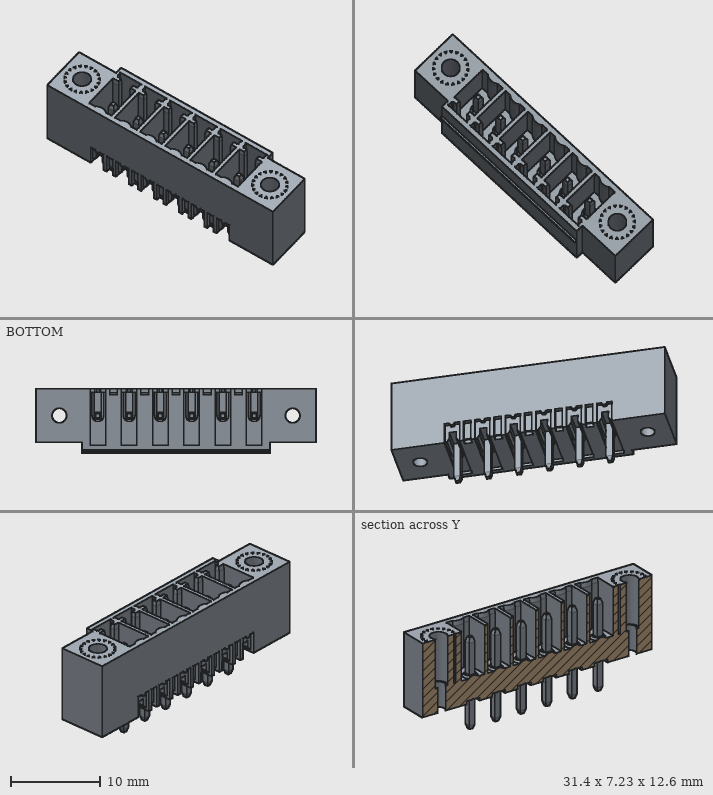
import cadquery as cq
import math


BODY_LENGTH = 31.4
BODY_HEIGHT = 9.2
FRONT_Y = -3.0
EAR_BACK_Y = -FRONT_Y
HOUSING_LENGTH = 21.1
HOUSING_BACK_Y = 3.95
BACK_WALL = 0.63
BACK_EDGE_CHAMFER = 0.13

RIB_DEPTH = 0.28
RIB_BOTTOM_Z = 5.68
RIB_HEIGHT = 0.35
RIB_CHAMFER = 0.13

PIN_COUNT = 6
PIN_ROW_SPAN = 17.5
PIN_WIDTH = 0.8
PIN_BOTTOM_Z = -3.4
PIN_TOP_Z = 7.95
PIN_TIP_LENGTH = 0.55
PIN_TIP_WIDTH = 0.45
COLLAR_DIAMETER = 1.8
COLLAR_TOP_DIAMETER = 1.35
COLLAR_HEIGHT = 0.25

CAVITY_FLOOR_Z = 3.15
CAVITY_HALF_WIDTH = 1.5
END_EXTRA_WIDTH = 0.1
CAVITY_FRONT_Y = -2.25
KEY_HALF_WIDTH = 0.75
KEY_HEIGHT = 0.28
TAB_FRONT_Y = 2.07
TAB_BACK_Y = 2.65
TAB_GAP_HALF_WIDTH = 0.75
POCKET_HALF_WIDTH = 1.4
POCKET_CORNER = 0.13
POCKET_FLARE_WIDTH = 0.13
POCKET_FLARE_DEPTH = 0.05
LEAD_IN = 0.1
LEAD_IN_HEIGHT = 0.53

SLOT_HEIGHT = 2.65
PIN_SLOT_WIDTH = 1.75
PIN_SLOT_DEPTH = 0.4
SLOT_LUG_WIDTH = 0.65
SLOT_LUG_TIP_WIDTH = 0.28
SLOT_LUG_HEIGHT = 0.28
WINDOW_HEIGHT = 1.63
FLARE_WIDTH = 1.32
FLARE_HEIGHT = 0.4
GAP_SLOT_WIDTH = 0.85
GAP_SLOT_DEPTH = 0.47
GAP_STEP_HEIGHT = 0.47
GAP_STEP_DEPTH = 0.2
BAY_HEIGHT = 0.38

INSERT_X = 13.05
INSERT_BORE = 2.05
INSERT_DIAMETER = 4.02
SCREW_HOLE = 1.6
KNURL_COUNT = 19
KNURL_DEPTH = 0.22
KNURL_WIDTH = 0.28

HOUSING_BACK_INNER_Y = HOUSING_BACK_Y - BACK_WALL
PITCH = PIN_ROW_SPAN / (PIN_COUNT - 1)
PIN_XS = [i * PITCH - PIN_ROW_SPAN / 2 for i in range(PIN_COUNT)]
GAP_XS = [(a + b) / 2 for a, b in zip(PIN_XS, PIN_XS[1:])]
CAVITY_DEPTH = BODY_HEIGHT - CAVITY_FLOOR_Z
INSERT_DEPTH = CAVITY_DEPTH


def box(x_center, width, y_min, y_max, z_min, z_max):
    """Axis-aligned block centred on x_center."""
    return (
        cq.Workplane("XY")
        .box(width, y_max - y_min, z_max - z_min, centered=(True, False, False))
        .translate((x_center, y_min, z_min))
    )


def front_prism(points, x_center, y_min, y_max):
    """Extrude an XZ outline from y_min back to y_max."""
    return (
        cq.Workplane("XZ")
        .polyline(points)
        .close()
        .extrude(-(y_max - y_min))
        .translate((x_center, y_min, 0))
    )


def make_housing():
    """Ears and deeper centre block, with a chamfered rib along the back."""
    ears = box(0, BODY_LENGTH, FRONT_Y, EAR_BACK_Y, 0, BODY_HEIGHT)
    block = box(0, HOUSING_LENGTH, FRONT_Y, HOUSING_BACK_Y, 0, BODY_HEIGHT)
    block = block.faces(">Y").edges("<Z").chamfer(BACK_EDGE_CHAMFER)
    rib_top_z = RIB_BOTTOM_Z + RIB_HEIGHT
    rib = box(0, HOUSING_LENGTH, HOUSING_BACK_Y, HOUSING_BACK_Y + RIB_DEPTH, RIB_BOTTOM_Z, rib_top_z)
    rib = rib.faces(">Y").edges("<Z").chamfer(RIB_CHAMFER)
    return ears.union(block).union(rib)


def cavity_outline(plane, left, right, lead):
    """Cavity cross-section; lead widens the front wall, the key and the tabs' inner faces."""
    front_y = CAVITY_FRONT_Y - lead
    tab_y = TAB_FRONT_Y + lead
    gap = TAB_GAP_HALF_WIDTH + lead
    side = POCKET_HALF_WIDTH
    flare = side + POCKET_FLARE_WIDTH
    flare_y = HOUSING_BACK_INNER_Y - POCKET_FLARE_DEPTH
    corner_y = TAB_BACK_Y + POCKET_CORNER
    return (
        plane.moveTo(-left, front_y)
        .lineTo(-KEY_HALF_WIDTH, front_y)
        .threePointArc((0, front_y + KEY_HEIGHT), (KEY_HALF_WIDTH, front_y))
        .lineTo(right, front_y)
        .lineTo(right, tab_y)
        .lineTo(gap, tab_y)
        .lineTo(gap, TAB_BACK_Y)
        .lineTo(side - POCKET_CORNER, TAB_BACK_Y)
        .lineTo(side, corner_y)
        .lineTo(side, flare_y)
        .lineTo(flare, HOUSING_BACK_INNER_Y)
        .lineTo(-flare, HOUSING_BACK_INNER_Y)
        .lineTo(-side, flare_y)
        .lineTo(-side, corner_y)
        .lineTo(-side + POCKET_CORNER, TAB_BACK_Y)
        .lineTo(-gap, TAB_BACK_Y)
        .lineTo(-gap, tab_y)
        .lineTo(-left, tab_y)
        .close()
    )


def make_cavity(index):
    """One plug cavity with its widened mouth; the end cavities are wider on their outer side."""
    left = CAVITY_HALF_WIDTH + (END_EXTRA_WIDTH if index == 0 else 0)
    right = CAVITY_HALF_WIDTH + (END_EXTRA_WIDTH if index == PIN_COUNT - 1 else 0)
    floor = cq.Workplane("XY").workplane(offset=CAVITY_FLOOR_Z)
    shaft = cavity_outline(floor, left, right, 0).extrude(CAVITY_DEPTH)
    lead_start = cq.Workplane("XY").workplane(offset=BODY_HEIGHT - LEAD_IN_HEIGHT)
    lower = cavity_outline(lead_start, left, right, 0)
    mouth = cavity_outline(lower.workplane(offset=LEAD_IN_HEIGHT), left, right, LEAD_IN).loft(ruled=True)
    return shaft.union(mouth).translate((PIN_XS[index], 0, 0))


def make_pin_slot(x):
    """Front recess with a hanging lug, the bay behind it, and a flared window to the pin."""
    half = PIN_SLOT_WIDTH / 2
    lug = SLOT_LUG_WIDTH / 2
    lug_tip = SLOT_LUG_TIP_WIDTH / 2
    lug_z = SLOT_HEIGHT - SLOT_LUG_HEIGHT
    recess_outline = [
        (-half, 0),
        (half, 0),
        (half, SLOT_HEIGHT),
        (lug, SLOT_HEIGHT),
        (lug_tip, lug_z),
        (-lug_tip, lug_z),
        (-lug, SLOT_HEIGHT),
        (-half, SLOT_HEIGHT),
    ]
    recess_back_y = FRONT_Y + PIN_SLOT_DEPTH
    recess = front_prism(recess_outline, x, FRONT_Y, recess_back_y)
    window = box(x, PIN_WIDTH, FRONT_Y, 0, 0, WINDOW_HEIGHT)
    flare_half = FLARE_WIDTH / 2
    pin_half = PIN_WIDTH / 2
    flare_top_z = BAY_HEIGHT + FLARE_HEIGHT
    flare_outline = [
        (-flare_half, BAY_HEIGHT),
        (flare_half, BAY_HEIGHT),
        (pin_half, flare_top_z),
        (-pin_half, flare_top_z),
    ]
    flare = front_prism(flare_outline, x, recess_back_y, 0)
    cone = cq.Workplane(
        cq.Solid.makeCone(flare_half, pin_half, FLARE_HEIGHT, cq.Vector(x, 0, BAY_HEIGHT))
    )
    bay = box(x, PIN_SLOT_WIDTH, FRONT_Y, HOUSING_BACK_INNER_Y, 0, BAY_HEIGHT)
    return recess.union(window).union(flare).union(cone).union(bay)


def make_gap_slot(x):
    """Plain slot between two pin slots, stepped deeper at its foot."""
    back_y = FRONT_Y + GAP_SLOT_DEPTH
    slot = box(x, GAP_SLOT_WIDTH, FRONT_Y, back_y, 0, SLOT_HEIGHT)
    step = box(x, GAP_SLOT_WIDTH, FRONT_Y, back_y + GAP_STEP_DEPTH, 0, GAP_STEP_HEIGHT)
    return slot.union(step)


def make_insert_cut(side):
    """Screw bore and knurl grooves of one ear; side is -1 on the left, 1 on the right."""
    top = cq.Workplane("XY").workplane(offset=BODY_HEIGHT)
    bore = top.circle(INSERT_BORE / 2).extrude(-INSERT_DEPTH)
    cut = bore.union(cq.Workplane("XY").circle(SCREW_HOLE / 2).extrude(BODY_HEIGHT))
    outer = INSERT_DIAMETER / 2
    groove = (
        top.moveTo(outer - KNURL_DEPTH, 0)
        .lineTo(outer, KNURL_WIDTH / 2)
        .lineTo(outer, -KNURL_WIDTH / 2)
        .close()
        .extrude(-INSERT_DEPTH)
    )
    first_angle = 180 if side > 0 else 0
    for i in range(KNURL_COUNT):
        angle = first_angle + i * 360 / KNURL_COUNT
        cut = cut.union(groove.rotate((0, 0, 0), (0, 0, 1), angle))
    return cut.translate((side * INSERT_X, 0, 0))


def make_pin(x):
    """Square contact tapered at both ends, with a conical collar on the cavity floor."""
    tip_inset = (PIN_WIDTH - PIN_TIP_WIDTH) / 2
    taper = math.degrees(math.atan(tip_inset / PIN_TIP_LENGTH))
    half = PIN_WIDTH / 2
    shank = box(0, PIN_WIDTH, -half, half, PIN_BOTTOM_Z + PIN_TIP_LENGTH, PIN_TOP_Z - PIN_TIP_LENGTH)
    for face in ("<Z", ">Z"):
        tip = shank.faces(face).workplane().rect(PIN_WIDTH, PIN_WIDTH)
        shank = tip.extrude(PIN_TIP_LENGTH, taper=taper)
    collar = cq.Workplane(
        cq.Solid.makeCone(
            COLLAR_DIAMETER / 2, COLLAR_TOP_DIAMETER / 2, COLLAR_HEIGHT, cq.Vector(0, 0, CAVITY_FLOOR_Z)
        )
    )
    return shank.union(collar).translate((x, 0, 0))


result = make_housing()
for index in range(PIN_COUNT):
    result = result.cut(make_cavity(index))
for x in PIN_XS:
    result = result.cut(make_pin_slot(x))
for x in GAP_XS:
    result = result.cut(make_gap_slot(x))
for side in (-1, 1):
    result = result.cut(make_insert_cut(side))
for x in PIN_XS:
    result = result.union(make_pin(x))